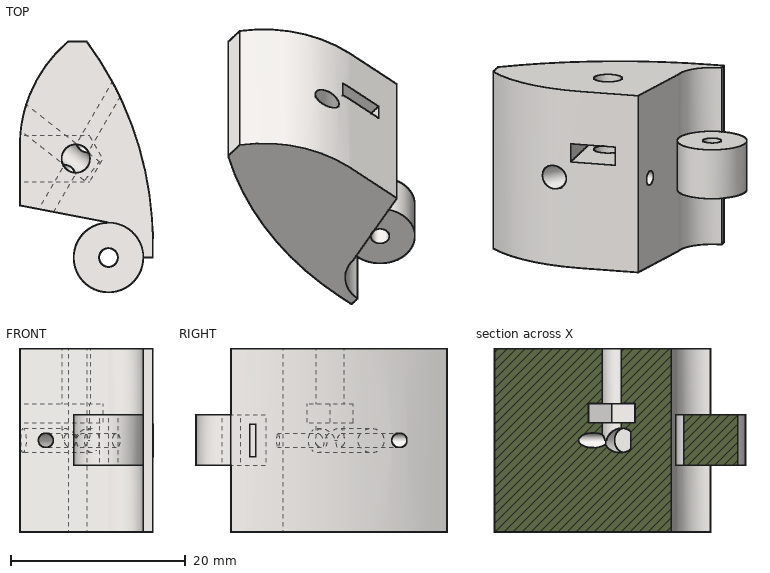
import cadquery as cq
import math

height = 21.0
body_width = 15.25
tip_left = 5.55
tip_right = 7.65
left_flat_top = -11.7
left_flat_bottom = -18.82
left_arc_mid = (1.53, -5.2)
right_arc_mid = (12.12, -7.77)
right_arc_end = -23.02
mid_z = height / 2

knuckle_radius = 4.0
knuckle_x = 10.15
knuckle_y = -(28.78 - knuckle_radius)
knuckle_height = 5.8
knuckle_bottom = 7.63
pin_diameter = 2.13

screw_x = 6.42
screw_y = -13.45
screw_diameter = 3.25
screw_bottom = mid_z
nut_flats = 5.3
nut_bottom = 12.55
nut_height = 2.15
rod_diameter = 2.75
rod_angle = -38.0
rod_past_screw = 2.3

cross_hole_diameter = 1.65
cross_hole_angle = 60.0

pad_width = 0.7
pad_height = 3.7
pad_thickness = 0.03
pad_y = -22.25


def make_body():
    seat_offset = knuckle_radius * math.sqrt(0.5)
    return (
        cq.Workplane("XY")
        .moveTo(tip_left, 0)
        .lineTo(tip_right, 0)
        .threePointArc(right_arc_mid, (body_width, right_arc_end))
        .lineTo(body_width, knuckle_y)
        .lineTo(knuckle_x + knuckle_radius, knuckle_y)
        .threePointArc(
            (knuckle_x + seat_offset, knuckle_y + seat_offset),
            (knuckle_x, knuckle_y + knuckle_radius),
        )
        .lineTo(0, left_flat_bottom)
        .lineTo(0, left_flat_top)
        .threePointArc(left_arc_mid, (tip_left, 0))
        .close()
        .extrude(height)
    )


def vertical_cylinder(x, y, diameter, bottom, length):
    return cq.Workplane("XY", origin=(x, y, bottom)).circle(diameter / 2).extrude(length)


def make_pad():
    inner_x = knuckle_x + knuckle_radius
    length = body_width + pad_thickness - inner_x
    return cq.Workplane("XY").box(length, pad_width, pad_height).translate(
        (inner_x + length / 2, pad_y, mid_z)
    )


def make_nut_pocket():
    corner_diameter = nut_flats / math.cos(math.pi / 6)
    base = cq.Workplane("XY", origin=(screw_x, screw_y, nut_bottom))
    hexagon = base.polygon(6, corner_diameter).extrude(nut_height)
    channel = base.center(-screw_x / 2, 0).rect(screw_x, nut_flats).extrude(nut_height)
    return hexagon.union(channel)


def horizontal_bore(diameter, angle_degrees, length_before, length_after):
    angle = math.radians(angle_degrees)
    direction = cq.Vector(math.cos(angle), math.sin(angle), 0)
    start = cq.Vector(screw_x, screw_y, mid_z) - direction * length_before
    length = length_before + length_after
    return cq.Workplane(cq.Solid.makeCylinder(diameter / 2, length, start, direction))


knuckle = vertical_cylinder(knuckle_x, knuckle_y, 2 * knuckle_radius, knuckle_bottom, knuckle_height)
result = make_body().union(knuckle).union(make_pad())
result = result.cut(vertical_cylinder(knuckle_x, knuckle_y, pin_diameter, 0, height))
result = result.cut(vertical_cylinder(screw_x, screw_y, screw_diameter, screw_bottom, height - screw_bottom))
result = result.cut(make_nut_pocket())
result = result.cut(horizontal_bore(rod_diameter, rod_angle, body_width, rod_past_screw))
result = result.cut(horizontal_bore(cross_hole_diameter, cross_hole_angle, body_width, body_width))